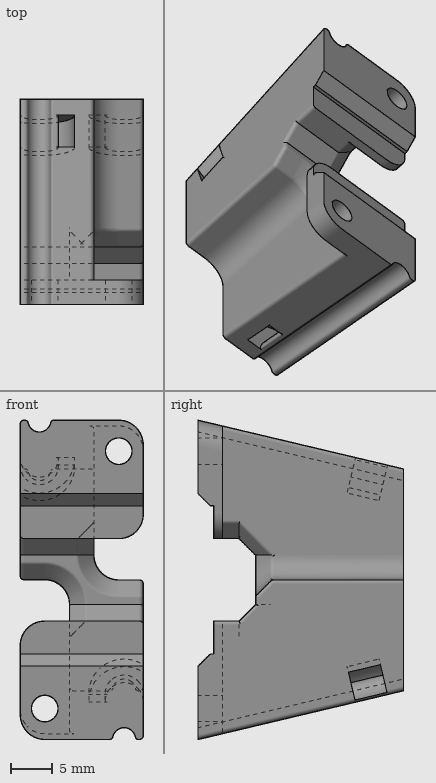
import cadquery as cq
import math

width = 15.0
length = 25.0
front_height = 38.86
back_height = 27.0
arm_width = 9.0
neck_radius = 3.0
edge_fillet = 0.5

notch_half_height = 5.0
notch_floor_half_height = 3.0
notch_depth = 7.0
notch_chamfer = 2.0

plate_thickness = 3.0
plate_corner_radius = 3.0
step_depth = 1.9
step_height = 9.0
step_chamfer = 1.5
hole_diameter = 3.2
hole_x = 4.5
hole_z = 15.65

groove_radius = 1.4
groove_wall = 2.35
groove_lip_fillet = 0.4
groove_overrun = 3.0
strap_center_depth = 0.15
strap_lip_fillet = 0.2
strap_inner_radius = 2.3
strap_outer_radius = 4.3
strap_width = 4.0
strap_end_margin = 2.0

half_width = width / 2
half_front = front_height / 2
half_back = back_height / 2
arm_inner_x = arm_width - half_width
neck_arc_end_x = arm_inner_x + neck_radius
notch_slope_start = notch_depth - (notch_half_height - notch_floor_half_height)
slope_angle = math.atan2(half_front - half_back, length)
slope_length = math.hypot(length, half_front - half_back)
groove_x = groove_wall - half_width
tolerance = 0.01


def turned(shape):
    """The shape turned half a revolution about the Y axis."""
    return shape.rotate((0, 0, 0), (0, 1, 0), 180)


def side_prism(points):
    """A YZ outline extruded across the full width."""
    return cq.Workplane("YZ").polyline(points).close().extrude(half_width, both=True)


def slope_plane(distance):
    """Plane square to the upper slope: local X is global X, local Y points into the part."""
    direction = cq.Vector(0, math.cos(slope_angle), -math.sin(slope_angle))
    origin = cq.Vector(0, 0, half_front) + direction * distance
    return cq.Workplane(cq.Plane(origin, xDir=(1, 0, 0), normal=direction))


def make_arms():
    """Two offset arms joined by an S-shaped neck, with sloped outer faces and the notch."""
    arc_middle = neck_radius * (1 - math.sqrt(0.5))
    outline = (
        cq.Workplane("XZ", origin=(0, step_depth, 0))
        .moveTo(-half_width, half_front)
        .lineTo(arm_inner_x, half_front)
        .lineTo(arm_inner_x, neck_radius)
        .threePointArc((arm_inner_x + arc_middle, arc_middle), (neck_arc_end_x, 0))
        .lineTo(half_width, 0)
        .lineTo(half_width, -half_front)
        .lineTo(-arm_inner_x, -half_front)
        .lineTo(-arm_inner_x, -neck_radius)
        .threePointArc((-arm_inner_x - arc_middle, -arc_middle), (-neck_arc_end_x, 0))
        .lineTo(-half_width, 0)
        .close()
        .extrude(step_depth - length)
    )
    side = side_prism([
        (0, half_front),
        (length, half_back),
        (length, -half_back),
        (0, -half_front),
        (0, -notch_half_height),
        (notch_slope_start, -notch_half_height),
        (notch_depth, -notch_floor_half_height),
        (notch_depth, notch_floor_half_height),
        (notch_slope_start, notch_half_height),
        (0, notch_half_height),
    ])
    return outline.intersect(side)


def lower_bevel_cutter():
    """Bevel along the lower arm and around the S-shaped neck, on the notch side."""
    arm_side_x = -arm_inner_x
    floor_z = -notch_floor_half_height
    base_z = -notch_half_height
    axis_x = -neck_arc_end_x

    arm = (
        cq.Workplane("YZ", origin=(arm_side_x, 0, 0))
        .polyline([
            (0, floor_z),
            (notch_depth + notch_chamfer, floor_z),
            (notch_slope_start, base_z - notch_chamfer),
            (0, base_z - notch_chamfer),
        ]).close()
        .workplane(offset=notch_chamfer)
        .polyline([
            (0, floor_z),
            (notch_depth, floor_z),
            (notch_slope_start, base_z),
            (0, base_z),
        ]).close()
        .loft(ruled=True)
    )
    neck_profile = [
        (0, 0),
        (0, notch_depth + notch_chamfer),
        (neck_radius, notch_depth + notch_chamfer),
        (neck_radius + notch_chamfer, notch_depth),
        (neck_radius + notch_chamfer, 0),
    ]
    neck = (
        cq.Workplane("XY", origin=(axis_x, 0, -neck_radius))
        .polyline(neck_profile).close()
        .revolve(90, (0, 0), (0, -1))
    )
    straight = (
        cq.Workplane("ZY", origin=(axis_x, 0, -neck_radius))
        .polyline(neck_profile).close()
        .extrude(half_width + axis_x)
    )
    return arm.union(neck).union(straight)


def is_rounded_ridge(edge):
    """True for the long convex edges; false for end outlines, creases across the arms and seams."""
    center = edge.Center()
    start = edge.startPoint()
    end = edge.endPoint()
    at_an_end = center.y < step_depth + tolerance or center.y > length - tolerance
    beyond_neck = abs(center.z) > notch_floor_half_height - tolerance
    across_arm = beyond_neck and abs(start.x - end.x) > tolerance
    seam_beside_arc = abs(abs(center.x) - neck_arc_end_x) < tolerance
    seam_on_arm = (
        abs(abs(center.z) - neck_radius) < tolerance
        and abs(start.z - end.z) < tolerance
    )
    return not (at_an_end or across_arm or seam_beside_arc or seam_on_arm)


def make_plate():
    """Upper mounting plate with its set-back, sloped top, rounded corners and screw hole."""
    plate = side_prism([
        (0, half_front),
        (plate_thickness, half_front - plate_thickness * math.tan(slope_angle)),
        (plate_thickness, notch_half_height),
        (step_depth, notch_half_height),
        (step_depth, step_height),
        (step_chamfer, step_height),
        (0, step_height + step_chamfer),
    ])
    bottom_edge_y = (step_depth + plate_thickness) / 2
    for side_x, radius in ((half_width, plate_corner_radius), (-half_width, edge_fillet)):
        top_corner = (side_x, plate_thickness / 2, half_front)
        bottom_corner = (side_x, bottom_edge_y, notch_half_height)
        for corner in (top_corner, bottom_corner):
            plate = plate.edges(cq.NearestToPointSelector(corner)).fillet(radius)
    hole = (
        cq.Workplane("XZ", origin=(hole_x, 0, hole_z))
        .circle(hole_diameter / 2)
        .extrude(-plate_thickness)
    )
    return plate.cut(hole)


def groove_cutter():
    """Round-bottomed groove with rounded lips, running the whole length of the upper slope."""
    lip_center_offset = math.sqrt(
        (groove_radius + groove_lip_fillet) ** 2 - groove_lip_fillet ** 2
    )
    contact_share = groove_radius / (groove_radius + groove_lip_fillet)
    contact_offset = lip_center_offset * contact_share
    contact_depth = groove_lip_fillet * contact_share
    half_lip_angle = math.atan2(lip_center_offset, groove_lip_fillet) / 2
    lip_middle_offset = lip_center_offset - groove_lip_fillet * math.sin(half_lip_angle)
    lip_middle_depth = groove_lip_fillet - groove_lip_fillet * math.cos(half_lip_angle)
    return (
        slope_plane(-groove_overrun)
        .moveTo(groove_x - lip_center_offset, 0)
        .threePointArc(
            (groove_x - lip_middle_offset, lip_middle_depth),
            (groove_x - contact_offset, contact_depth),
        )
        .threePointArc(
            (groove_x, groove_radius),
            (groove_x + contact_offset, contact_depth),
        )
        .threePointArc(
            (groove_x + lip_middle_offset, lip_middle_depth),
            (groove_x + lip_center_offset, 0),
        )
        .lineTo(groove_x + lip_center_offset, -groove_radius)
        .lineTo(groove_x - lip_center_offset, -groove_radius)
        .close()
        .extrude(slope_length + 2 * groove_overrun)
    )


def strap_passage_cutter():
    """Curved passage from the side of the arm, under the groove, to the upper slope."""
    start = slope_length - strap_end_margin - strap_width
    plane = slope_plane(start).center(groove_x, 0)
    core_half_width = math.sqrt(strap_inner_radius ** 2 - strap_center_depth ** 2)
    core = (
        plane.moveTo(-core_half_width, 0)
        .threePointArc(
            (0, strap_center_depth + strap_inner_radius),
            (core_half_width, 0),
        )
        .close()
        .extrude(strap_width)
        .edges(cq.selectors.ParallelDirSelector(plane.plane.zDir))
        .fillet(strap_lip_fillet)
    )
    outside = (
        slope_plane(start)
        .center(groove_x, strap_center_depth)
        .circle(strap_outer_radius)
        .extrude(strap_width)
    )
    return outside.cut(core)


arms = make_arms()
bevel = lower_bevel_cutter()
arms = arms.cut(bevel).cut(turned(bevel))
ridges = [edge for edge in arms.edges().vals() if is_rounded_ridge(edge)]
arms = arms.newObject(ridges).fillet(edge_fillet)

plate = make_plate()
slope_cuts = groove_cutter().union(strap_passage_cutter())
result = (
    arms.union(plate).union(turned(plate))
    .cut(slope_cuts).cut(turned(slope_cuts))
)